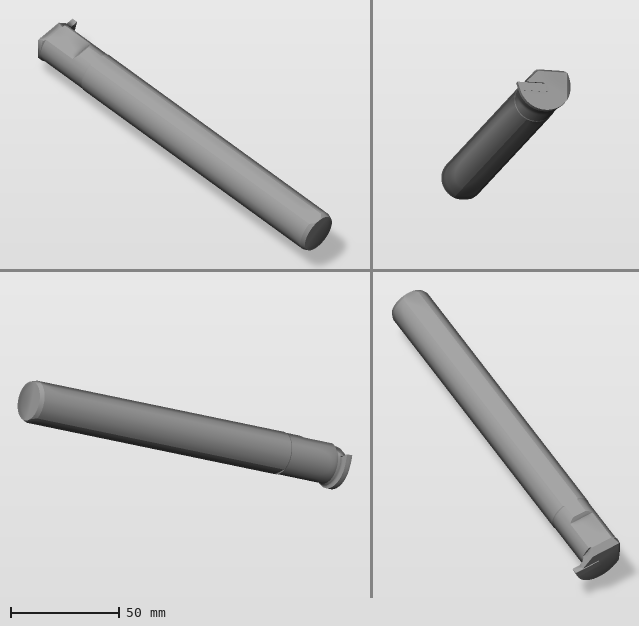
import cadquery as cq
import math

length = 170.0
shank_radius = 10.0
flat_height = 9.2
end_chamfer_length = 2.0
end_chamfer_depth = 0.8

neck_step = 0.25
neck_radius = shank_radius - neck_step
shank_start = 30.0
neck_taper_length = 0.5

flange_thickness = 2.9
flange_radius = 12.5
flange_offset = 2.7
collar_height = 0.8
rake_reach = 12.2
rake_length = 4.2

relief_height = 7.6
relief_end = 20.4
nose_height = 5.8
nose_length = 3.7

bevel_start = 7.5
bevel_size = 2.9

tip_reach = 16.0
insert_height = 3.9
insert_inner_top = 3.0
insert_inner_bottom = 1.9
seat_clearance = 0.3
insert_projection = 0.2

cut_size = 2 * shank_radius


def flange_y(z):
    """Y of the flange edge on the insert side at height z."""
    return flange_offset + math.sqrt(flange_radius**2 - z**2)


def make_shank():
    end_radius = shank_radius - end_chamfer_depth
    profile = (
        cq.Workplane("XY")
        .moveTo(0, 0)
        .lineTo(0, neck_radius)
        .lineTo(shank_start - neck_taper_length, neck_radius)
        .lineTo(shank_start, shank_radius)
        .lineTo(length - end_chamfer_length, shank_radius)
        .lineTo(length, end_radius)
        .lineTo(length, 0)
        .close()
    )
    bar = profile.revolve(360, (0, 0, 0), (1, 0, 0))
    top_slab = cq.Workplane("XY").box(
        length, cut_size, shank_radius + flat_height, centered=(False, True, False)
    ).translate((0, 0, -shank_radius))
    bottom_flat = cq.Workplane("XY").box(
        length - shank_start, cut_size, cut_size, centered=(False, True, False)
    ).translate((shank_start, 0, -flat_height - cut_size))
    return bar.intersect(top_slab).cut(bottom_flat)


def make_flange():
    slope_end_y = rake_reach - relief_height
    return (
        cq.Workplane("YZ")
        .moveTo(flange_offset - flange_radius, 0)
        .threePointArc((flange_offset, -flange_radius), (flange_offset + flange_radius, 0))
        .lineTo(rake_reach, 0)
        .lineTo(slope_end_y, relief_height)
        .lineTo(0, relief_height)
        .lineTo(0, 0)
        .close()
        .extrude(flange_thickness)
    )


def make_collar():
    """Conical collar between the back of the flange and the neck."""
    cone = cq.Solid.makeCone(
        neck_radius + collar_height, neck_radius, collar_height,
        cq.Vector(flange_thickness, 0, 0), cq.Vector(1, 0, 0),
    )
    flange_outline = (
        cq.Workplane("YZ").center(flange_offset, 0).circle(flange_radius)
        .extrude(flange_thickness + collar_height)
    )
    return cq.Workplane("XY").add(cone).intersect(flange_outline)


def rake_cut():
    return (
        cq.Workplane("YZ")
        .moveTo(rake_reach, 0)
        .lineTo(rake_reach - cut_size, cut_size)
        .lineTo(cut_size, cut_size)
        .lineTo(cut_size, 0)
        .close()
        .extrude(rake_length)
    )


def top_relief_cut():
    ramp_length = cut_size - relief_height
    return (
        cq.Workplane("XZ")
        .moveTo(0, nose_height)
        .lineTo(nose_length, relief_height)
        .lineTo(relief_end, relief_height)
        .lineTo(relief_end + ramp_length, cut_size)
        .lineTo(0, cut_size)
        .close()
        .extrude(cut_size, both=True)
    )


def side_bevel_cut():
    return (
        cq.Workplane("XY")
        .moveTo(0, -bevel_start)
        .lineTo(bevel_size, -bevel_start - bevel_size)
        .lineTo(0, -bevel_start - bevel_size)
        .close()
        .extrude(cut_size, both=True)
    )


def seat_cut():
    """Seat for the insert, with clearance above its top face."""
    return (
        cq.Workplane("YZ")
        .moveTo(insert_inner_top, seat_clearance)
        .lineTo(tip_reach, seat_clearance)
        .lineTo(tip_reach, 0)
        .lineTo(flange_y(insert_height), -insert_height)
        .lineTo(insert_inner_bottom, -insert_height)
        .lineTo(insert_inner_top, 0)
        .close()
        .extrude(flange_thickness)
    )


def face_setback_cut():
    """Thin slice that sets the holder face back behind the insert."""
    return cq.Workplane("YZ").rect(2 * cut_size, 2 * cut_size).extrude(insert_projection)


def make_insert():
    return (
        cq.Workplane("YZ")
        .moveTo(insert_inner_top, 0)
        .lineTo(tip_reach, 0)
        .lineTo(flange_y(insert_height), -insert_height)
        .lineTo(insert_inner_bottom, -insert_height)
        .close()
        .extrude(flange_thickness)
    )


holder = make_shank().union(make_flange()).union(make_collar())
head_cuts = (rake_cut(), top_relief_cut(), side_bevel_cut(), seat_cut(), face_setback_cut())
for cutter in head_cuts:
    holder = holder.cut(cutter)

insert = make_insert()

result = cq.Compound.makeCompound([holder.solids().val(), insert.val()])